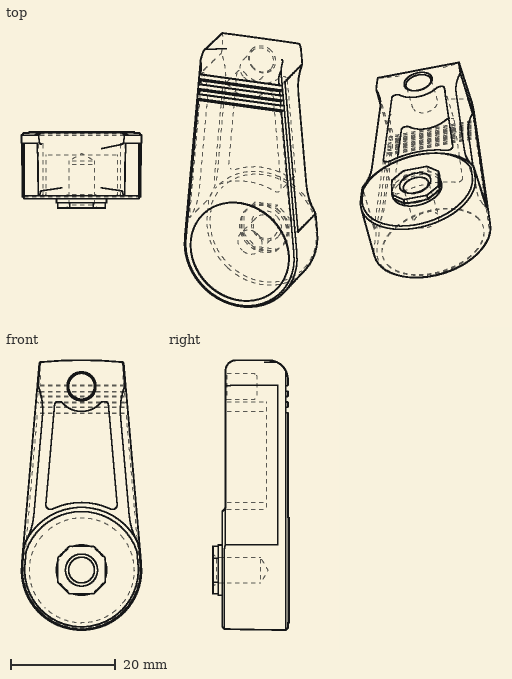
import cadquery as cq
import math


hub_radius = 11.455
top_height = 40.005
overall_depth = 14.5
arm_taper = 5.0
draft = 1.0
parting_y = 10.43
back_y = 11.94
back_chamfer = 0.44

crown_radius = 80.0
front_round = 2.1
back_round = 3.8
crown_edge_round = 0.4

flank_inset = 1.5
flank_depth = 9.95
flank_low_z = 10.5
flank_high_z = 29.25
flank_blend_radius = 13.3
flank_blend_turn = 26.0

window_inset = 3.6
window_depth = 7.8
window_low_radius = 12.87
window_top_z = 32.1
window_hole_clearance = 4.8
window_low_round = 0.9
window_top_round = 0.7
window_crest_round = 1.0

head_hole_z = 35.0
head_hole_radius = 4.92 / 2
head_hole_depth = 6.0
head_hole_chamfer = 0.3
head_hole_floor_radius = 1.75

disc_height = 0.62
disc_base_radius = 11.95
disc_shoulder_radius = 11.55
disc_shoulder_height = 0.26
disc_face_radius = 11.15
disc_rim_chamfer = 0.45
collar_radius = 9.6 / 2
collar_height = 0.75
spindle_flats = 9.1
spindle_corner = 2.27
spindle_height = 1.0
spindle_hole_radius = 4.92 / 2
spindle_hole_depth = 9.0
spindle_hole_chamfer = 0.6
drill_point_half_angle = 59.0

back_disc_radius = 10.0
back_disc_height = overall_depth - back_y - disc_height - collar_height - spindle_height
groove_top_z = 34.6
groove_pitch = 2.05
groove_width = 1.0
groove_count = 3
groove_mouth_bevel = 0.15

taper_angle = math.radians(arm_taper)
tangent_x = hub_radius * math.cos(taper_angle)
tangent_z = hub_radius * math.sin(taper_angle)
overshoot = 5.0
selection_margin = 0.1
stock_top_z = top_height + overshoot


def front_plane(y):
    """Plane facing the front (-Y) at depth y; local axes are X and Z."""
    return cq.Workplane("XZ", origin=(0, y, 0))


def side_x(z, inset=0.0):
    """Half width of the tapered arm at height z, moved inward by inset."""
    return (hub_radius - inset) / math.cos(taper_angle) - z * math.tan(taper_angle)


def round_bar(radius, y_back, y_front):
    return front_plane(y_back).circle(radius).extrude(y_back - y_front)


def cone(radius_back, radius_front, y_back, y_front):
    """Cone frustum on the Y axis; a zero radius gives a point."""
    solid = cq.Solid.makeCone(
        radius_back, radius_front, y_back - y_front, cq.Vector(0, y_back, 0), cq.Vector(0, -1, 0)
    )
    return cq.Workplane("XY").add(solid)


def arm_outline(y):
    """Round hub with straight flanks tangent to it, left long at the top."""
    return (
        front_plane(y)
        .moveTo(-tangent_x, tangent_z)
        .threePointArc((0, -hub_radius), (tangent_x, tangent_z))
        .lineTo(side_x(stock_top_z), stock_top_z)
        .lineTo(-side_x(stock_top_z), stock_top_z)
        .close()
    )


def make_drafted_stock():
    """Outline drafted from the parting depth past the front of the disc."""
    return arm_outline(parting_y).extrude(parting_y + disc_height, taper=draft)


def make_head_envelope():
    """Side profile with rounded top corners, trimmed by the crowned top."""
    bottom_z = -hub_radius - overshoot
    width = 4 * hub_radius
    profile = (
        cq.Workplane("YZ", origin=(-width / 2, 0, 0))
        .moveTo(0, bottom_z)
        .lineTo(0, top_height - front_round)
        .radiusArc((front_round, top_height), front_round)
        .lineTo(back_y - back_round, top_height)
        .radiusArc((back_y, top_height - back_round), back_round)
        .lineTo(back_y, bottom_z)
        .close()
        .extrude(width)
    )
    crown = front_plane(back_y).center(0, top_height - crown_radius).circle(crown_radius).extrude(back_y)
    return profile.intersect(crown)


def make_body(stock):
    back = arm_outline(back_y).extrude(back_y - parting_y).faces(">Y").chamfer(back_chamfer)
    body = stock.union(back).intersect(make_head_envelope())
    crown_edges = cq.selectors.BoxSelector(
        (-hub_radius, front_round, top_height - front_round / 2),
        (hub_radius, back_y - back_round, top_height),
    )
    side_edges = cq.selectors.ParallelDirSelector(cq.Vector(1, 0, 0))
    return body.edges(crown_edges - side_edges).fillet(crown_edge_round)


def flank_cutter():
    """Hollow beside the +X flank, blended out to the flank at both ends."""
    chord = 2 * flank_blend_radius * math.sin(math.radians(flank_blend_turn / 2))
    chord_lean = math.radians(flank_blend_turn / 2)
    low = (side_x(flank_low_z, flank_inset), flank_low_z)
    high = (side_x(flank_high_z, flank_inset), flank_high_z)
    low_end = (
        low[0] + chord * math.sin(chord_lean + taper_angle),
        low[1] - chord * math.cos(chord_lean + taper_angle),
    )
    high_end = (
        high[0] + chord * math.sin(chord_lean - taper_angle),
        high[1] + chord * math.cos(chord_lean - taper_angle),
    )
    outer_x = hub_radius + overshoot
    return (
        front_plane(flank_depth)
        .moveTo(*low_end)
        .radiusArc(low, flank_blend_radius)
        .lineTo(*high)
        .radiusArc(high_end, flank_blend_radius)
        .lineTo(outer_x, high_end[1])
        .lineTo(outer_x, low_end[1])
        .close()
        .extrude(flank_depth)
    )


def height_band(low_z, high_z, half_width=hub_radius):
    """Selects edges along Y between two heights and within a half width."""
    box = cq.selectors.BoxSelector((-half_width, -overshoot, low_z), (half_width, 2 * back_y, high_z))
    return cq.selectors.ParallelDirSelector(cq.Vector(0, 1, 0)) & box


def window_cutter():
    """Tapered pocket bounded by arcs about the hub and the head hole."""
    pocket = (
        front_plane(window_depth)
        .moveTo(-side_x(0, window_inset), 0)
        .lineTo(side_x(0, window_inset), 0)
        .lineTo(side_x(window_top_z, window_inset), window_top_z)
        .lineTo(-side_x(window_top_z, window_inset), window_top_z)
        .close()
        .extrude(window_depth)
    )
    pocket = pocket.cut(round_bar(window_low_radius, window_depth, 0))
    hole_wall = round_bar(window_hole_clearance, window_depth, 0).translate((0, 0, head_hole_z))
    pocket = pocket.cut(hole_wall)

    split_z = head_hole_z / 2
    pocket = pocket.edges(height_band(0, split_z)).fillet(window_low_round)
    crest_x = math.sqrt(window_hole_clearance**2 - (head_hole_z - window_top_z) ** 2)
    crest_band = height_band(split_z, stock_top_z, crest_x + selection_margin)
    pocket = pocket.edges(crest_band).fillet(window_crest_round)
    corner_band = height_band(window_top_z - selection_margin, stock_top_z) - crest_band
    return pocket.edges(corner_band).fillet(window_top_round)


def head_hole_cutter():
    floor_step = head_hole_radius - head_hole_floor_radius
    bore = round_bar(head_hole_radius, head_hole_depth, 0).faces(">Y").fillet(floor_step)
    mouth = cone(head_hole_radius, head_hole_radius + head_hole_chamfer, head_hole_chamfer, 0)
    return bore.union(mouth).translate((0, 0, head_hole_z))


def make_disc(stock):
    """Low disc on the front, trimmed by the drafted outline with a chamfered rim."""
    rim = stock.faces("<Y").chamfer(disc_rim_chamfer)
    foot = cone(disc_base_radius, disc_shoulder_radius, 0, -disc_shoulder_height)
    bevel = cone(disc_shoulder_radius, disc_face_radius, -disc_shoulder_height, -disc_height)
    return foot.union(bevel).intersect(rim)


def make_spindle():
    collar_y = -disc_height - collar_height
    collar = round_bar(collar_radius, 0, collar_y)
    square = (
        front_plane(collar_y)
        .rect(spindle_flats, spindle_flats)
        .extrude(spindle_height)
        .edges("|Y")
        .chamfer(spindle_corner)
    )
    return collar.union(square)


def spindle_hole_cutter():
    mouth_y = -disc_height - collar_height - spindle_height
    shoulder_y = mouth_y + spindle_hole_depth
    point_length = spindle_hole_radius / math.tan(math.radians(drill_point_half_angle))
    bore = round_bar(spindle_hole_radius, shoulder_y, mouth_y)
    point = cone(0.0, spindle_hole_radius, shoulder_y + point_length, shoulder_y)
    mouth = cone(
        spindle_hole_radius,
        spindle_hole_radius + spindle_hole_chamfer,
        mouth_y + spindle_hole_chamfer,
        mouth_y,
    )
    return bore.union(point).union(mouth)


def groove_cutter(z):
    """Groove across the back, as deep as the back chamfer, with a bevelled mouth."""
    half_floor = groove_width / 2
    half_mouth = half_floor + groove_mouth_bevel
    floor_y = back_y - back_chamfer
    bevel_y = back_y - groove_mouth_bevel
    length = 4 * hub_radius
    return (
        cq.Workplane("YZ", origin=(-length / 2, 0, z))
        .moveTo(floor_y, -half_floor)
        .lineTo(bevel_y, -half_floor)
        .lineTo(back_y, -half_mouth)
        .lineTo(back_y, half_mouth)
        .lineTo(bevel_y, half_floor)
        .lineTo(floor_y, half_floor)
        .close()
        .extrude(length)
    )


stock = make_drafted_stock()
result = make_body(stock)
for cutter in (flank_cutter(), flank_cutter().mirror("YZ"), window_cutter(), head_hole_cutter()):
    result = result.cut(cutter)
for index in range(groove_count):
    result = result.cut(groove_cutter(groove_top_z - index * groove_pitch))
back_disc = round_bar(back_disc_radius, back_y + back_disc_height, back_y)
result = result.union(make_disc(stock)).union(make_spindle()).union(back_disc)
result = result.cut(spindle_hole_cutter())